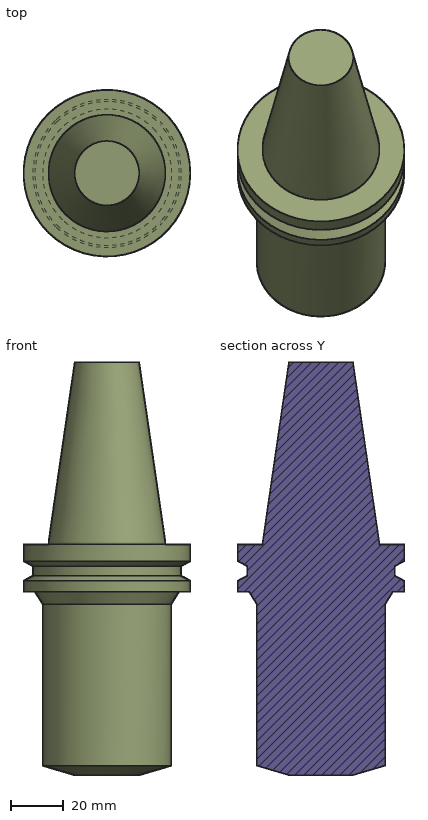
import cadquery as cq

total_height = 157.2
nose_chamfer_height = 3.6
body_top = 65.0
flange_bottom = 69.8
groove_bottom_edge = 74.0
groove_top_edge = 81.4
flange_top = 87.8
taper_bottom = 88.8

nose_diameter = 24.5
body_diameter = 49.0
collar_diameter = 54.8
flange_diameter = 63.5
groove_diameter = 56.4
taper_large_diameter = 44.5

taper_ratio = 7 / 24
taper_small_diameter = taper_large_diameter - taper_ratio * (total_height - taper_bottom)

groove_wall_height = 1.9


def revolved_profile(stations):
    """Revolve (diameter, height) stations into a solid about the Z axis."""
    outline = [(diameter / 2, height) for diameter, height in stations]
    axis_points = [(0, stations[-1][1]), (0, stations[0][1])]
    return (
        cq.Workplane("XZ")
        .polyline(outline + axis_points)
        .close()
        .revolve(360, (0, 0), (0, 1))
    )


body = revolved_profile([
    (nose_diameter, 0),
    (body_diameter, nose_chamfer_height),
    (body_diameter, body_top),
    (collar_diameter, flange_bottom),
])

flange = revolved_profile([
    (flange_diameter, flange_bottom),
    (flange_diameter, groove_bottom_edge),
    (groove_diameter, groove_bottom_edge + groove_wall_height),
    (groove_diameter, groove_top_edge - groove_wall_height),
    (flange_diameter, groove_top_edge),
    (flange_diameter, flange_top),
])

shank = revolved_profile([
    (taper_large_diameter, flange_top),
    (taper_large_diameter, taper_bottom),
    (taper_small_diameter, total_height),
])

result = body.union(flange).union(shank)